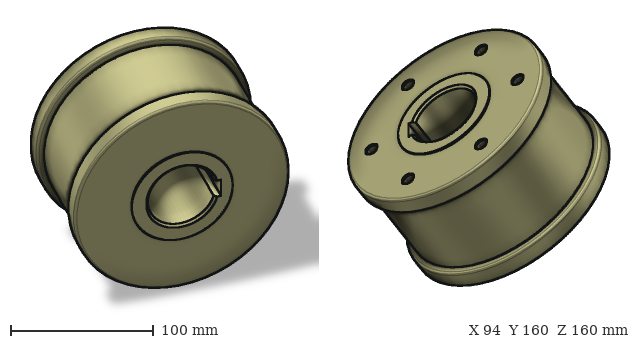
import cadquery as cq
import math

flange_diameter = 160.0
body_width = 92.0
tread_diameter = 150.0
tread_width = 64.0
edge_radius = 2.0

hub_diameter = 75.0
hub_projection = 1.0

bore_diameter = 50.0
bore_chamfer = 2.0
keyway_width = 14.0
keyway_reach = 28.8

hole_count = 6
hole_circle_diameter = 120.0
hole_diameter = 8.5
hole_mouth_diameter = 10.0
hole_depth = 20.0
drill_point_angle = 118.0

flange_width = (body_width - tread_width) / 2
hub_width = body_width + 2 * hub_projection


def disc(diameter, width, start):
    """Solid disc along +X, beginning at X = start."""
    return cq.Workplane("YZ").workplane(offset=start).circle(diameter / 2).extrude(width)


def rounded_disc(diameter, width, start):
    """Disc with both rims rounded."""
    return disc(diameter, width, start).edges().fillet(edge_radius)


def wheel_blank():
    """Hub core, tread and the two flanges, before the bore is cut."""
    blank = disc(hub_diameter, hub_width, -hub_width / 2)
    blank = blank.union(rounded_disc(tread_diameter, tread_width, -tread_width / 2))
    for flange_start in (-body_width / 2, tread_width / 2):
        blank = blank.union(rounded_disc(flange_diameter, flange_width, flange_start))
    return blank


def keyed_bore():
    """Through bore chamfered at both ends, with a keyway on the +Y side."""
    half_width = hub_width / 2
    bore_radius = bore_diameter / 2
    mouth_radius = bore_radius + bore_chamfer
    bore = (
        cq.Workplane("XY")
        .moveTo(-half_width, 0)
        .lineTo(-half_width, mouth_radius)
        .lineTo(-half_width + bore_chamfer, bore_radius)
        .lineTo(half_width - bore_chamfer, bore_radius)
        .lineTo(half_width, mouth_radius)
        .lineTo(half_width, 0)
        .close()
        .revolve(360, (0, 0, 0), (1, 0, 0))
    )
    keyway = cq.Workplane("XY").box(hub_width, keyway_reach, keyway_width)
    return bore.union(keyway.translate((0, keyway_reach / 2, 0)))


def blind_hole():
    """Drilled hole on the X axis, entering the -X flange face, with a countersunk mouth."""
    face = -body_width / 2
    hole_radius = hole_diameter / 2
    mouth_radius = hole_mouth_diameter / 2
    mouth_depth = mouth_radius - hole_radius
    point_length = hole_radius / math.tan(math.radians(drill_point_angle / 2))
    return (
        cq.Workplane("XY")
        .moveTo(face, 0)
        .lineTo(face, mouth_radius)
        .lineTo(face + mouth_depth, hole_radius)
        .lineTo(face + hole_depth, hole_radius)
        .lineTo(face + hole_depth + point_length, 0)
        .close()
        .revolve(360, (0, 0, 0), (1, 0, 0))
    )


result = wheel_blank().cut(keyed_bore())
for index in range(hole_count):
    hole = blind_hole().translate((0, hole_circle_diameter / 2, 0))
    angle = index * 360 / hole_count
    result = result.cut(hole.rotate((0, 0, 0), (1, 0, 0), angle))